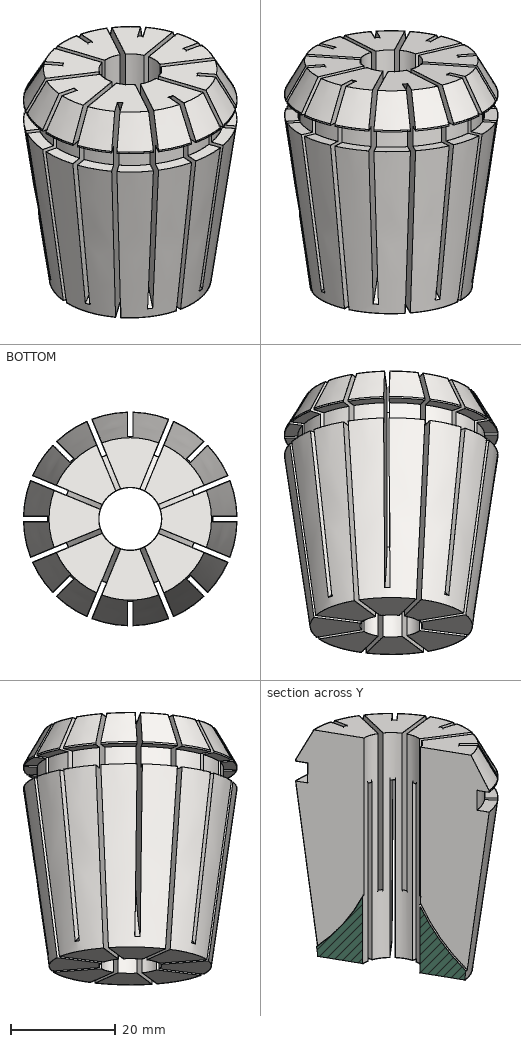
import cadquery as cq
import math

height = 46.0
max_diameter = 41.0
bore_diameter = 12.0
rear_half_angle = 8.0
nose_half_angle = 30.0

groove_bottom = 34.95
groove_top = 39.0
groove_diameter = 35.9
nose_land = 0.3

slot_width = 1.0
slot_pairs = 8
floor_outer_z = 2.0
floor_bore_z = 14.0
saw_radius = 36.8
roof_bore_z = 36.35
roof_top_radius = 13.05

max_radius = max_diameter / 2
bore_radius = bore_diameter / 2
groove_radius = groove_diameter / 2
nose_base = groove_top + nose_land
rear_slope = math.tan(math.radians(rear_half_angle))
rear_radius = max_radius - groove_bottom * rear_slope
nose_radius = max_radius - (height - nose_base) * math.tan(math.radians(nose_half_angle))
slot_reach = max_radius + 0.45
slot_top = height + 0.45
slot_bottom = -0.45


def collet_blank():
    """Revolve the half section, with the bore already open."""
    return (
        cq.Workplane("XZ")
        .moveTo(bore_radius, 0)
        .lineTo(rear_radius, 0)
        .lineTo(max_radius, groove_bottom)
        .lineTo(groove_radius, groove_bottom)
        .lineTo(groove_radius, groove_top)
        .lineTo(max_radius, groove_top)
        .lineTo(max_radius, nose_base)
        .lineTo(nose_radius, height)
        .lineTo(bore_radius, height)
        .close()
        .revolve(360, (0, 0, 0), (0, 1, 0))
    )


def nose_slot():
    """Slot from the nose into the bore; its floor curves down towards the outside."""
    floor_outer_radius = rear_radius + floor_outer_z * rear_slope
    return (
        cq.Workplane("XZ")
        .moveTo(0, slot_top)
        .lineTo(0, floor_bore_z)
        .lineTo(bore_radius, floor_bore_z)
        .radiusArc((floor_outer_radius, floor_outer_z), -saw_radius)
        .lineTo(slot_reach, floor_outer_z)
        .lineTo(slot_reach, slot_top)
        .close()
        .extrude(slot_width / 2, both=True)
    )


def rear_slot():
    """Slot from the rear into the bore; its roof curves up and out to break the top face."""
    return (
        cq.Workplane("XZ")
        .moveTo(0, slot_bottom)
        .lineTo(0, roof_bore_z)
        .lineTo(bore_radius, roof_bore_z)
        .radiusArc((roof_top_radius, height), saw_radius)
        .lineTo(roof_top_radius, slot_top)
        .lineTo(slot_reach, slot_top)
        .lineTo(slot_reach, slot_bottom)
        .close()
        .extrude(slot_width / 2, both=True)
    )


def turned(tool, angle):
    """Turn a slot tool about the collet axis."""
    return tool.rotate((0, 0, 0), (0, 0, 1), angle)


slot_pitch = 360 / slot_pairs
result = collet_blank()
for index in range(slot_pairs):
    result = result.cut(turned(nose_slot(), index * slot_pitch))
    result = result.cut(turned(rear_slot(), (index + 0.5) * slot_pitch))